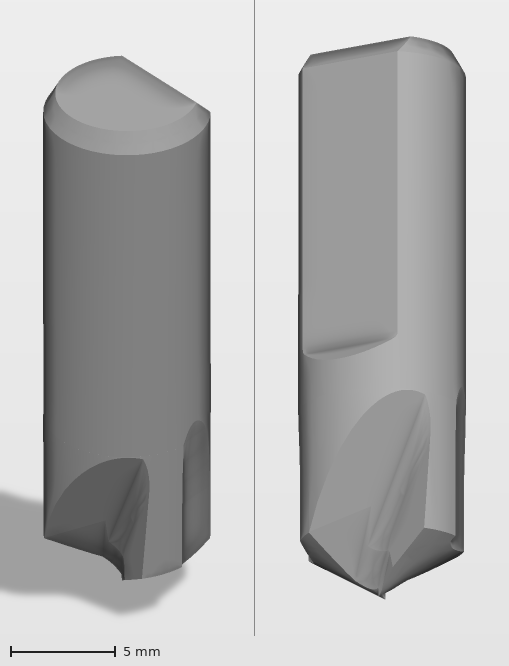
import cadquery as cq

LENGTH = 27.25
RADIUS = 8.0 / 2
HEAD_TOP = 9.25
CLEARANCE = 10.9

CHAMFER_HEIGHT = 1.0
CHAMFER_WIDTH = 0.57
FLAT_OFFSET = 3.02
FLAT_END = 11.9
FLAT_FILLET = 0.5

POINT_SLOPE = 0.62
APEX_OFFSET = 0.3

FLUTE_LEAN = (0.55, -0.14)
FLUTE_WALL_OUTER = (-5.42, -5.45)
FLUTE_ROOT = (-1.5, -0.65)
FLUTE_FLOOR_MIDDLE = (-0.75, -0.55)
FLUTE_FACE_INNER = (-0.1, -0.74)
FLUTE_FACE_OUTER = (5.6, -3.02)

GASH_LEAN = (0.48, -0.35)
GASH_WALL_OUTER = (-5.45, -5.37)
GASH_ROOT = (-1.58, -0.25)
GASH_FLOOR_MIDDLE = (-0.63, -0.1)
GASH_FACE_INNER = (0.15, -0.4)
GASH_FACE_OUTER = (6.0, -4.5)

GROOVE_STRAIGHT_TOP = 5.55
GROOVE_RUNOUT_RADIUS = 20.7
GROOVE_RUNOUT_ANGLE = 20.0
GROOVE_EDGE = (-4.03, -0.08)
GROOVE_WALL = (-3.65, -0.2)
GROOVE_ARC_MIDDLE = (-3.43, -0.68)
GROOVE_FLOOR = (-3.3, -1.2)
GROOVE_HEEL = (-2.95, -2.9)
GROOVE_OUTER_X = -5.45


def both_sides(tool):
    """Return the tool and its copy turned half a turn about the axis."""
    return [tool.rotate((0, 0, 0), (0, 0, 1), angle) for angle in (0, 180)]


def leaning_cutter(outer_wall, root, floor_middle, face_inner, outer_face, lean):
    """Sweep a rounded V section upward along a leaning straight line."""
    section = (
        cq.Workplane("XY")
        .moveTo(*outer_wall)
        .lineTo(*root)
        .threePointArc(floor_middle, face_inner)
        .lineTo(*outer_face)
        .lineTo(outer_face[0], -CLEARANCE)
        .lineTo(outer_wall[0], -CLEARANCE)
        .close()
        .wires()
        .val()
    )
    travel = cq.Vector(lean[0] * CLEARANCE, lean[1] * CLEARANCE, CLEARANCE)
    return cq.Workplane(cq.Solid.extrudeLinear(section, [], travel))


def flute():
    return leaning_cutter(FLUTE_WALL_OUTER, FLUTE_ROOT, FLUTE_FLOOR_MIDDLE,
                          FLUTE_FACE_INNER, FLUTE_FACE_OUTER, FLUTE_LEAN)


def gash():
    return leaning_cutter(GASH_WALL_OUTER, GASH_ROOT, GASH_FLOOR_MIDDLE,
                          GASH_FACE_INNER, GASH_FACE_OUTER, GASH_LEAN)


def groove_section(height):
    return (
        cq.Workplane("XY", origin=(0, 0, height))
        .moveTo(*GROOVE_EDGE)
        .lineTo(*GROOVE_WALL)
        .threePointArc(GROOVE_ARC_MIDDLE, GROOVE_FLOOR)
        .lineTo(*GROOVE_HEEL)
        .lineTo(GROOVE_OUTER_X, GROOVE_HEEL[1])
        .lineTo(GROOVE_OUTER_X, GROOVE_EDGE[1])
        .close()
    )


def side_groove():
    straight = groove_section(0).extrude(GROOVE_STRAIGHT_TOP)
    turn_x = GROOVE_FLOOR[0] - GROOVE_RUNOUT_RADIUS
    runout = groove_section(GROOVE_STRAIGHT_TOP).revolve(
        GROOVE_RUNOUT_ANGLE, (turn_x, 0.27, 0), (turn_x, 0, 0))
    return straight.union(runout)


def point_half():
    """The -X half of the head blank, with its cone-ground end."""
    cone_radius = 2 * RADIUS
    cone = (
        cq.Workplane("XZ")
        .polyline([(0, 0), (cone_radius, cone_radius * POINT_SLOPE), (cone_radius, HEAD_TOP), (0, HEAD_TOP)])
        .close()
        .revolve(360, (0, 0, 0), (0, 1, 0))
        .translate((0, APEX_OFFSET, 0))
    )
    half_space = cq.Workplane("XY").box(CLEARANCE, CLEARANCE, HEAD_TOP, centered=(False, True, False))
    half_space = half_space.translate((-CLEARANCE, 0, 0))
    return cq.Workplane("XY").circle(RADIUS).extrude(HEAD_TOP).intersect(half_space).intersect(cone)


def make_head(grooves):
    left_half, right_half = both_sides(point_half())
    head = left_half.union(right_half)
    for cutter in both_sides(flute()) + both_sides(gash()) + grooves:
        head = head.cut(cutter)
    return head


def clamping_flat():
    """Cutter for the +Y flat, its 45 degree ramp and its chamfered end."""
    reach = CLEARANCE - FLAT_OFFSET
    chamfer_start = LENGTH - CHAMFER_HEIGHT
    cutter = (
        cq.Workplane("YZ")
        .polyline([
            (FLAT_OFFSET, FLAT_END),
            (CLEARANCE, FLAT_END - reach),
            (CLEARANCE, LENGTH),
            (FLAT_OFFSET - CHAMFER_HEIGHT, LENGTH),
            (FLAT_OFFSET, chamfer_start),
        ])
        .close()
        .extrude(RADIUS, both=True)
    )
    ramp_edge = cq.selectors.NearestToPointSelector((0, FLAT_OFFSET, FLAT_END))
    return cutter.edges(ramp_edge).fillet(FLAT_FILLET)


def make_shank(grooves):
    chamfer_start = LENGTH - CHAMFER_HEIGHT
    shank = (
        cq.Workplane("XZ")
        .polyline([
            (0, HEAD_TOP),
            (RADIUS, HEAD_TOP),
            (RADIUS, chamfer_start),
            (RADIUS - CHAMFER_WIDTH, LENGTH),
            (0, LENGTH),
        ])
        .close()
        .revolve(360, (0, 0, 0), (0, 1, 0))
    )
    for cutter in [clamping_flat()] + grooves:
        shank = shank.cut(cutter)
    return shank


side_grooves = both_sides(side_groove())
head = make_head(side_grooves)
shank = make_shank(side_grooves)

result = cq.Compound.makeCompound([head.val(), shank.val()])